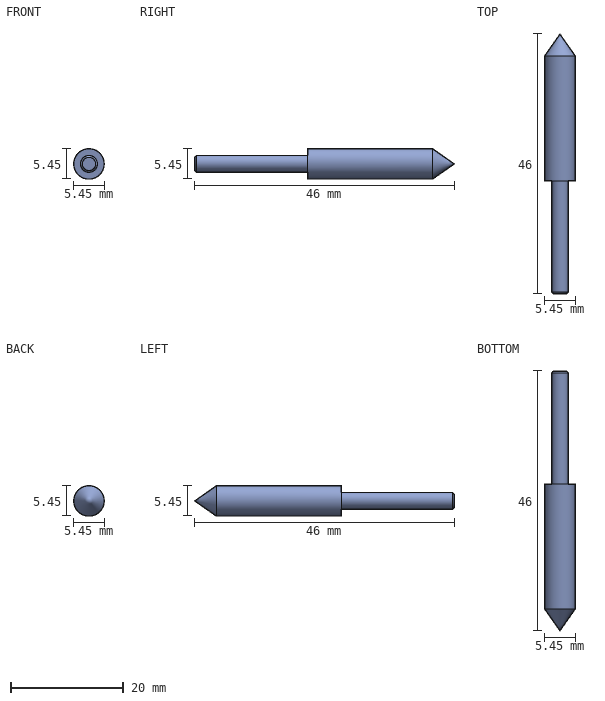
import cadquery as cq

total_length = 46.0
body_diameter = 5.45
shank_diameter = 3.0
shank_length = 20.0
tip_length = 3.85
end_chamfer = 0.3

body_radius = body_diameter / 2
shank_radius = shank_diameter / 2
tip_base_y = total_length - tip_length

profile = (
    cq.Workplane("XY")
    .moveTo(0, 0)
    .lineTo(shank_radius - end_chamfer, 0)
    .lineTo(shank_radius, end_chamfer)
    .lineTo(shank_radius, shank_length)
    .lineTo(body_radius, shank_length)
    .lineTo(body_radius, tip_base_y)
    .lineTo(0, total_length)
    .close()
)

result = profile.revolve(360, (0, 0, 0), (0, 1, 0))